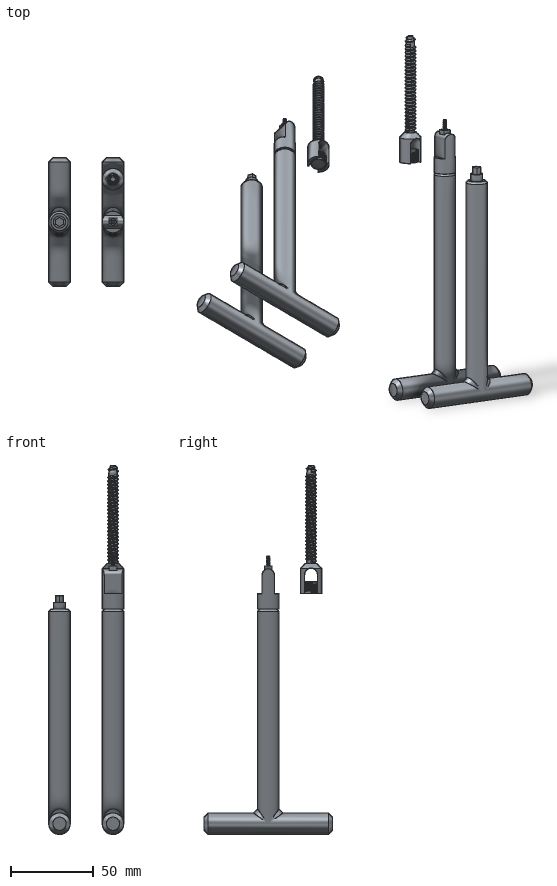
import cadquery as cq
import math

ridge_half_ratio = 0.42
ridge_sink_ratio = 0.1
straight_helix = 360

grip_diameter = 13.0
grip_radius = grip_diameter / 2
bar_length = 77.59
bar_chamfer = 2.5
overall_width = 45.26
handle_spacing = overall_width - grip_diameter
left_x = -handle_spacing / 2
right_x = handle_spacing / 2
bar_axis_z = grip_radius
stem_top_z = 135.8
stem_chamfer = 1.3
weld_reach = 8.9

neck_diameter = 7.3
neck_height = 4.1
hex_across_flats = 4.7
hex_height = 4.1

shoulder_z = 145.2
blade_thickness = 7.6
blade_top_z = 160.1
post_side = 4.8
post_top_z = 161.9

pin_shank_diameter = 3.7
pin_thread_diameter = 2.0
pin_core_diameter = 1.5
pin_pitch = 0.8
pin_top_z = 168.0

screw_y = 25.8
total_height = 222.43
head_diameter = grip_diameter
head_bottom_z = shoulder_z
head_cone_z = 160.3
neck_z = 163.5
cone_top_diameter = 6.8
slot_width = 7.6
slot_top_z = 160.5
thread_diameter = 6.6
core_diameter = 5.2
thread_pitch = 2.16
tip_length = 4.4
tip_core_diameter = 3.0

set_diameter = 9.6
set_core_diameter = 8.4
set_pitch = 1.5
set_clearance = 0.1
set_top_z = 152.5


def cylinder(diameter, bottom_z, top_z):
    """Upright cylinder on the Z axis."""
    return cq.Workplane("XY").workplane(offset=bottom_z).circle(diameter / 2).extrude(top_z - bottom_z)


def thread_ridge(core, crest, pitch, bottom_z, top_z, taper=straight_helix):
    """Right-handed V ridge on a core, its foot sunk in; taper is a cone half-angle in degrees."""
    foot_radius = core / 2 - ridge_sink_ratio * (crest - core)
    foot_half = ridge_half_ratio * pitch
    start_z = bottom_z + foot_half
    height = top_z - bottom_z - 2 * foot_half
    helix = cq.Wire.makeHelix(pitch, height, core / 2, cq.Vector(0, 0, start_z), angle=taper)
    profile = (
        cq.Workplane("XZ")
        .moveTo(foot_radius, start_z - foot_half)
        .lineTo(crest / 2, start_z)
        .lineTo(foot_radius, start_z + foot_half)
        .close()
    )
    return profile.sweep(cq.Workplane(helix), isFrenet=True)


def weld():
    """Elliptic weld ridges between stem and bar, tapering to nothing at the sides."""
    half_depth = (weld_reach + grip_radius) / math.sqrt(2)
    rod_reach = weld_reach + grip_radius
    ridges = cq.Workplane("XY")
    for side in (-1, 1):
        plane = cq.Plane(origin=(0, 0, 0), xDir=(1, 0, 0), normal=(0, side, -1))
        rod = cq.Workplane(plane).ellipse(grip_radius, half_depth).extrude(rod_reach, both=True)
        quadrant = cq.Workplane("XY").box(
            grip_diameter, weld_reach, weld_reach, centered=(True, False, False)
        )
        if side < 0:
            quadrant = quadrant.mirror("XZ")
        ridges = ridges.add(rod.intersect(quadrant))
    return ridges.combine().translate((0, 0, bar_axis_z))


def t_handle():
    """Crossbar along Y with an upright stem, chamfered at the free ends."""
    bar = (
        cq.Workplane("XZ")
        .center(0, bar_axis_z)
        .circle(grip_radius)
        .extrude(bar_length / 2, both=True)
        .faces("|Y")
        .chamfer(bar_chamfer)
    )
    stem = cylinder(grip_diameter, bar_axis_z, stem_top_z).faces(">Z").chamfer(stem_chamfer)
    return bar.union(stem).union(weld())


def hex_driver_handle():
    """T-handle carrying a round neck and a hexagonal driver tip."""
    neck_top_z = stem_top_z + neck_height
    neck = cylinder(neck_diameter, stem_top_z, neck_top_z)
    hex_tip = (
        cq.Workplane("XY")
        .workplane(offset=neck_top_z)
        .polygon(6, hex_across_flats, circumscribed=True)
        .extrude(hex_height)
    )
    return t_handle().union(neck).union(hex_tip).translate((left_x, 0, 0))


def adapter_body():
    """Round base rising into a flat round-topped blade with a square post."""
    blade_radius = blade_thickness / 2
    slab = (
        cq.Workplane("XY")
        .workplane(offset=stem_top_z)
        .rect(grip_diameter, blade_thickness)
        .extrude(blade_top_z - stem_top_z)
    )
    blade = slab.intersect(cylinder(grip_diameter, stem_top_z, blade_top_z))
    base = cylinder(grip_diameter, stem_top_z, shoulder_z)
    round_top = (
        cq.Workplane("YZ")
        .moveTo(-blade_radius, stem_top_z)
        .lineTo(blade_radius, stem_top_z)
        .lineTo(blade_radius, blade_top_z - blade_radius)
        .threePointArc((0, blade_top_z), (-blade_radius, blade_top_z - blade_radius))
        .close()
        .extrude(grip_radius, both=True)
    )
    post = (
        cq.Workplane("XY")
        .workplane(offset=shoulder_z)
        .rect(post_side, post_side)
        .extrude(post_top_z - shoulder_z)
    )
    bore = cylinder(pin_shank_diameter, shoulder_z, post_top_z)
    return base.union(blade.intersect(round_top)).union(post).cut(bore).translate((right_x, 0, 0))


def threaded_pin():
    """Pin whose shank fills the adapter bore and whose threaded end stands clear."""
    shank = cylinder(pin_shank_diameter, shoulder_z, post_top_z)
    core = cylinder(pin_core_diameter, post_top_z, pin_top_z)
    ridge = thread_ridge(pin_core_diameter, pin_thread_diameter, pin_pitch, post_top_z, pin_top_z)
    return shank.union(core).union(ridge).translate((right_x, 0, 0))


def slotted_screw():
    """Slotted cylindrical head with a coned shoulder and a long threaded shank."""
    head = (
        cq.Workplane("XZ")
        .moveTo(0, head_bottom_z)
        .lineTo(head_diameter / 2, head_bottom_z)
        .lineTo(head_diameter / 2, head_cone_z)
        .lineTo(cone_top_diameter / 2, neck_z)
        .lineTo(0, neck_z)
        .close()
        .revolve(360, (0, 0, 0), (0, 1, 0))
    )
    slot_radius = slot_width / 2
    slot = (
        cq.Workplane("YZ")
        .moveTo(-slot_radius, head_bottom_z)
        .lineTo(slot_radius, head_bottom_z)
        .lineTo(slot_radius, slot_top_z - slot_radius)
        .threePointArc((0, slot_top_z), (-slot_radius, slot_top_z - slot_radius))
        .close()
        .extrude(head_diameter, both=True)
    )
    set_hole = cylinder(set_diameter + set_clearance, head_bottom_z, set_top_z)
    tip_z = total_height - tip_length
    tip_drop = (core_diameter - tip_core_diameter) / 2
    core = cylinder(core_diameter, neck_z, total_height).faces(">Z").chamfer(tip_length, tip_drop)
    ridge = thread_ridge(core_diameter, thread_diameter, thread_pitch, neck_z, tip_z)
    tip_taper = -math.degrees(math.atan(tip_drop / tip_length))
    tip_ridge = thread_ridge(core_diameter, thread_diameter, thread_pitch, tip_z, total_height, tip_taper)
    screw = head.cut(slot).cut(set_hole).union(core).union(ridge).union(tip_ridge)
    return screw.translate((right_x, screw_y, 0))


def set_screw():
    """Threaded plug flush with the open end of the screw head."""
    core = cylinder(set_core_diameter, head_bottom_z, set_top_z)
    ridge = thread_ridge(set_core_diameter, set_diameter, set_pitch, head_bottom_z, set_top_z)
    return core.union(ridge).translate((right_x, screw_y, 0))


hex_driver = hex_driver_handle()
plain_handle = t_handle().translate((right_x, 0, 0))
adapter = adapter_body()
pin = threaded_pin()
screw = slotted_screw()
plug = set_screw()

bodies = [hex_driver, plain_handle, adapter, pin, screw, plug]
result = cq.Compound.makeCompound([body.solids().val() for body in bodies])